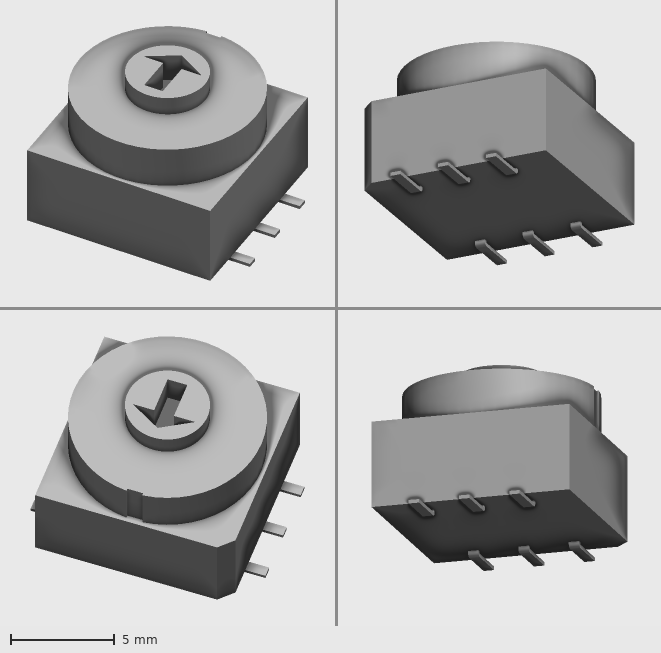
import cadquery as cq

body_side = 10.0
body_bottom = 0.3
body_top = 4.6
corner_chamfer = 0.7

dial_diameter = 9.6
dial_top = 6.8
knob_diameter = 4.1
knob_top = 7.8

notch_width = 0.8
notch_floor_radius = 4.65
notch_run = dial_diameter / 2 - notch_floor_radius

arrow_reach = 1.44
arrow_head_width = 3.19
arrow_shoulder = 0.5
arrow_shaft_width = 1.01
arrow_depth = 1.5

lead_span = 12.0
lead_width = 0.53
lead_pitch = 2.55
lead_thickness = 0.18
lead_inner_bend = 0.05
lead_heel_x = 3.5
leads_per_side = 3


def make_housing():
    block = (
        cq.Workplane("XY")
        .workplane(offset=body_bottom)
        .rect(body_side, body_side)
        .extrude(body_top - body_bottom)
    )
    return block.edges("|Z and <X and >Y").chamfer(corner_chamfer)


def make_dial():
    dial = (
        cq.Workplane("XY")
        .workplane(offset=body_top)
        .circle(dial_diameter / 2)
        .extrude(dial_top - body_top)
    )
    notch = (
        cq.Workplane("XY")
        .workplane(offset=body_top)
        .center(0, notch_floor_radius)
        .rect(notch_width, notch_run, centered=(True, False))
        .extrude(dial_top - body_top)
    )
    return dial.cut(notch)


def make_knob():
    return (
        cq.Workplane("XY")
        .workplane(offset=dial_top)
        .circle(knob_diameter / 2)
        .extrude(knob_top - dial_top)
    )


def make_arrow_slot():
    half_head = arrow_head_width / 2
    half_shaft = arrow_shaft_width / 2
    return (
        cq.Workplane("XY")
        .workplane(offset=knob_top)
        .moveTo(0, arrow_reach)
        .lineTo(half_head, arrow_shoulder)
        .lineTo(half_shaft, arrow_shoulder)
        .lineTo(half_shaft, -arrow_reach)
        .lineTo(-half_shaft, -arrow_reach)
        .lineTo(-half_shaft, arrow_shoulder)
        .lineTo(-half_head, arrow_shoulder)
        .close()
        .extrude(-arrow_depth)
    )


def make_lead(y_center):
    """Lead on the +X side: a short leg under the housing bent outward into a flat foot."""
    toe_x = lead_span / 2
    leg_outer_x = lead_heel_x + lead_thickness
    outer_bend = lead_inner_bend + lead_thickness
    bend_x = lead_heel_x + outer_bend
    return (
        cq.Workplane("XZ", origin=(0, y_center + lead_width / 2, 0))
        .moveTo(lead_heel_x, body_bottom)
        .lineTo(lead_heel_x, outer_bend)
        .radiusArc((bend_x, 0), -outer_bend)
        .lineTo(toe_x, 0)
        .lineTo(toe_x, lead_thickness)
        .lineTo(bend_x, lead_thickness)
        .radiusArc((leg_outer_x, outer_bend), lead_inner_bend)
        .lineTo(leg_outer_x, body_bottom)
        .close()
        .extrude(lead_width)
    )


result = make_housing().union(make_dial()).union(make_knob()).cut(make_arrow_slot())
for row in range(leads_per_side):
    right_lead = make_lead((row - (leads_per_side - 1) / 2) * lead_pitch)
    result = result.union(right_lead).union(right_lead.mirror("YZ"))